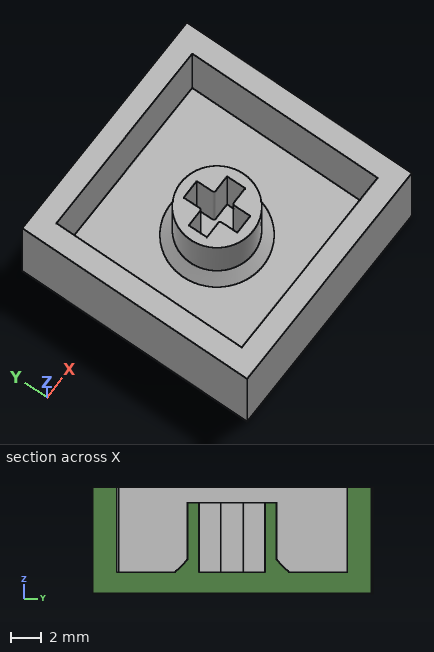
import cadquery as cq
import math

overall_span = 18.28
height = 6.9
turn_angle = -0.75
wall = 1.59
floor_thickness = 1.39

stem_diameter = 5.8
stem_height = 4.5
foot_flare = 0.8

socket_length = 4.26
socket_width = 1.45
socket_corner_radius = 0.15

turn = math.radians(abs(turn_angle))
outer_side = overall_span / (math.cos(turn) + math.sin(turn))
inner_side = outer_side - 2 * wall


def make_tray():
    """Open-topped square box with a flat floor."""
    outer = cq.Workplane("XY").rect(outer_side, outer_side).extrude(height)
    cavity = (
        cq.Workplane("XY")
        .workplane(offset=floor_thickness)
        .rect(inner_side, inner_side)
        .extrude(height - floor_thickness)
    )
    return outer.cut(cavity).rotate((0, 0, 0), (0, 0, 1), turn_angle)


def make_stem():
    """Round stem with a 45 degree conical foot, reaching down through the floor."""
    radius = stem_diameter / 2
    foot_radius = radius + foot_flare
    foot_top = floor_thickness + foot_flare
    stem_top = floor_thickness + stem_height
    return (
        cq.Workplane("XZ")
        .lineTo(foot_radius, 0)
        .lineTo(foot_radius, floor_thickness)
        .lineTo(radius, foot_top)
        .lineTo(radius, stem_top)
        .lineTo(0, stem_top)
        .close()
        .revolve(360, (0, 0, 0), (0, 1, 0))
    )


def make_socket():
    """Cross-shaped cutter as deep as the stem, with rounded inner corners."""
    base = cq.Workplane("XY").workplane(offset=floor_thickness)
    bar_x = base.rect(socket_length, socket_width).extrude(stem_height)
    bar_y = base.rect(socket_width, socket_length).extrude(stem_height)
    half_width = socket_width / 2
    reach = half_width + socket_corner_radius
    inner_corners = cq.selectors.BoxSelector(
        (-reach, -reach, 0), (reach, reach, height)
    )
    return bar_x.union(bar_y).edges("|Z").edges(inner_corners).fillet(socket_corner_radius)


result = make_tray().union(make_stem()).cut(make_socket())